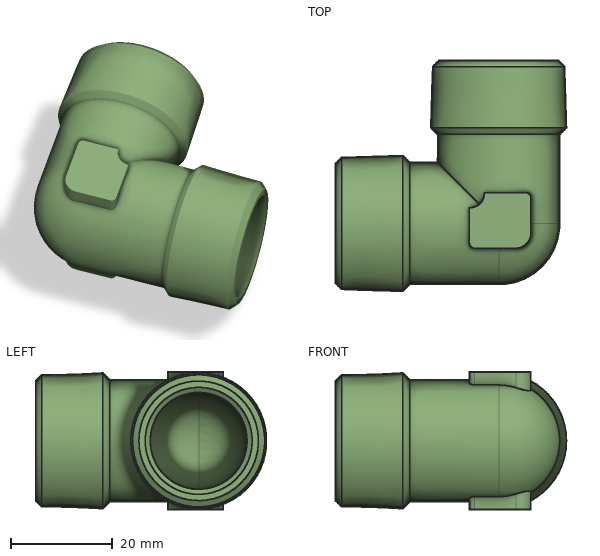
import cadquery as cq

overall_size = 45.35
height = 27.0
tube_radius = 24.0 / 2
bore_radius = 19.0 / 2

collar_radius = 13.33
taper_ratio = 1 / 32
collar_length = 13.2
mouth_chamfer = 1.22
bore_chamfer = 1.0
leg_length = overall_size - collar_radius

pad_left = -5.7
pad_right = 6.35
pad_front = -4.85
pad_back = 6.05
notch_radius = 2.95
outer_corner_radius = 2.95
small_corner_radius = 0.95


def leg_outside():
    """Solid leg along -X: tube, back bevel, tapered collar, mouth chamfer."""
    taper_length = collar_length - mouth_chamfer
    mouth_radius = collar_radius - taper_length * taper_ratio
    collar_start = collar_length - leg_length
    profile = [
        (0, 0),
        (0, tube_radius),
        (collar_start + collar_radius - tube_radius, tube_radius),
        (collar_start, collar_radius),
        (mouth_chamfer - leg_length, mouth_radius),
        (-leg_length, mouth_radius - mouth_chamfer),
        (-leg_length, 0),
    ]
    return cq.Workplane("XY").polyline(profile).close().revolve(360, (0, 0), (1, 0))


def leg_bore():
    """Bore along -X with a chamfered mouth."""
    profile = [
        (0, 0),
        (0, bore_radius),
        (bore_chamfer - leg_length, bore_radius),
        (-leg_length, bore_radius + bore_chamfer),
        (-leg_length, 0),
    ]
    return cq.Workplane("XY").polyline(profile).close().revolve(360, (0, 0), (1, 0))


def elbow(leg, corner_radius):
    """Join a -X leg and its +Y copy with a ball at the corner."""
    second_leg = leg.rotate((0, 0, 0), (0, 0, 1), -90)
    return leg.union(second_leg).union(cq.Workplane("XY").sphere(corner_radius))


def pad_block():
    """Block through the full height whose two ends form the pads."""
    block = cq.Workplane("XY").box(
        pad_right - pad_left, pad_back - pad_front, height
    ).translate(((pad_left + pad_right) / 2, (pad_front + pad_back) / 2, 0))
    block = block.edges("|Z and >X and <Y").fillet(outer_corner_radius)
    for corner in (">(1, 1, 0)", "<(1, 1, 0)"):
        block = block.edges("|Z").edges(corner).fillet(small_corner_radius)
    notch = (
        cq.Workplane("XY")
        .center(pad_left, pad_back)
        .circle(notch_radius)
        .extrude(height, both=True)
    )
    return block.cut(notch)


outside = elbow(leg_outside(), tube_radius).union(pad_block())
result = outside.cut(elbow(leg_bore(), bore_radius))